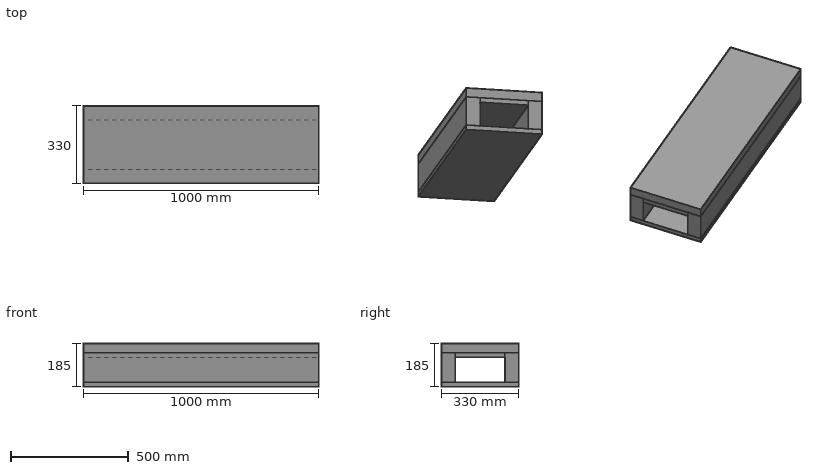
import cadquery as cq

length = 1000.0
width = 330.0
height = 185.0

top_thickness = 40.0
bottom_thickness = 20.0
wall_thickness = 60.0
liner_thickness = 20.0

wall_height = height - top_thickness - bottom_thickness
inner_width = width - 2 * wall_thickness
wall_offset = (inner_width + wall_thickness) / 2
top_underside = height - top_thickness


def make_board(board_width, thickness, base_z, center_y=0.0):
    """A full-length rectangular board resting on base_z."""
    board = cq.Workplane("XY").box(length, board_width, thickness, centered=(True, True, False))
    return board.translate((0, center_y, base_z))


bottom_board = make_board(width, bottom_thickness, 0.0)
top_board = make_board(width, top_thickness, top_underside)

side_walls = [
    make_board(wall_thickness, wall_height, bottom_thickness, side * wall_offset)
    for side in (-1, 1)
]

liner = make_board(inner_width, liner_thickness, top_underside - liner_thickness)

result = cq.Compound.makeCompound([
    bottom_board.val(),
    top_board.val(),
    *[wall.val() for wall in side_walls],
    liner.val(),
])